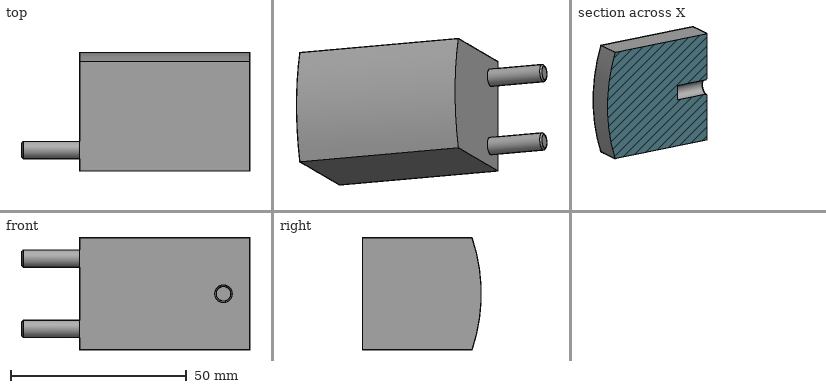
import cadquery as cq
import math

block_length = 48.5
block_height = 32.0
block_depth = 33.89
back_radius = 50.0
half_height = block_height / 2
back_bulge = back_radius - math.sqrt(back_radius**2 - half_height**2)
side_depth = block_depth - back_bulge

pin_diameter = 5.0
pin_length = 16.5
pin_chamfer = 0.5
pin_spacing = 20.0
pin_setback = 6.0

hole_diameter = 4.134
hole_mouth_diameter = 5.0
hole_depth = 10.0
hole_end_distance = 7.5
hole_chamfer = (hole_mouth_diameter - hole_diameter) / 2

pin_heights = [-pin_spacing / 2, pin_spacing / 2]


def make_pin(height):
    """Round pin along X, chamfered at its free end."""
    return (
        cq.Workplane("YZ", origin=(-pin_length, pin_setback, height))
        .circle(pin_diameter / 2)
        .extrude(pin_length)
        .faces("<X")
        .chamfer(pin_chamfer)
    )


def make_hole_cutter():
    """Flat-bottomed blind hole with a chamfered mouth, revolved about its axis."""
    mouth_radius = hole_mouth_diameter / 2
    bore_radius = hole_diameter / 2
    return (
        cq.Workplane("XY", origin=(block_length - hole_end_distance, 0, 0))
        .moveTo(0, 0)
        .lineTo(mouth_radius, 0)
        .lineTo(bore_radius, hole_chamfer)
        .lineTo(bore_radius, hole_depth)
        .lineTo(0, hole_depth)
        .close()
        .revolve(360, (0, 0, 0), (0, 1, 0))
    )


def make_block():
    """Bowed-back block with the front hole."""
    body = (
        cq.Workplane("YZ")
        .moveTo(0, -half_height)
        .lineTo(side_depth, -half_height)
        .threePointArc((block_depth, 0), (side_depth, half_height))
        .lineTo(0, half_height)
        .close()
        .extrude(block_length)
    )
    return body.cut(make_hole_cutter())


block = make_block().solids()
pins = [make_pin(height).solids() for height in pin_heights]

result = cq.Compound.makeCompound([block.val(), *[pin.val() for pin in pins]])